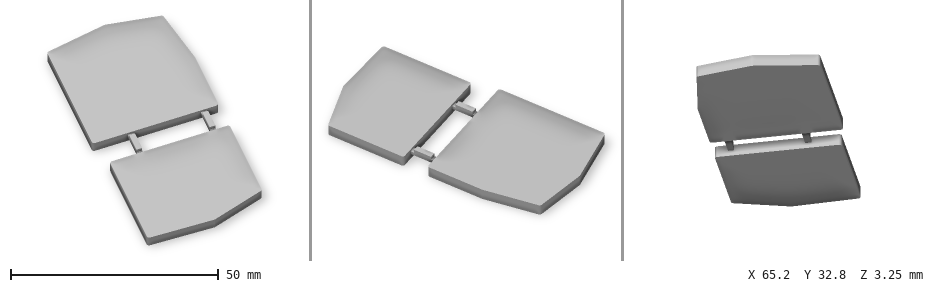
import cadquery as cq

length = 65.25
width = 32.8
height = 3.25

plate_thickness = 3.0
corner_radius = 0.65

left_plate_right = 32.9
left_plate_top = 32.7
left_bottom_corner_x = 2.75
left_upper_corner = (2.4, 30.15)
left_slope_end_x = 17.3
left_tip_y = 16.05
left_tip_radius = 1.95
left_tip_overhang = 0.025

plate_gap = 6.65
right_plate_left = left_plate_right + plate_gap
right_plate_bottom = 1.75
right_top_corner_x = 61.0
right_tip_y = 18.9
right_bottom_corner_x = 64.7

bar_width = 1.5
bar_centers_y = (9.85, 28.8)
bar_bottom = 1.45
bar_shoulder_z = 2.35
bar_shoulder_length = 0.9


def make_plate(outline):
    return cq.Workplane("XY").polyline(outline).close().extrude(plate_thickness)


def round_corners(plate, corners, radius):
    """Round the upright edges standing on the given outline corners."""
    for corner in corners:
        edge_middle = (*corner, plate_thickness / 2)
        plate = plate.edges(cq.selectors.NearestToPointSelector(edge_middle)).fillet(radius)
    return plate


def make_left_plate():
    tip = (-left_tip_overhang, left_tip_y)
    slope_end = (left_slope_end_x, left_plate_top)
    square_corners = [
        (left_bottom_corner_x, 0),
        (left_plate_right, 0),
        (left_plate_right, left_plate_top),
    ]
    plate = make_plate([*square_corners, slope_end, left_upper_corner, tip])
    plate = round_corners(plate, [*square_corners, left_upper_corner], corner_radius)
    return round_corners(plate, [tip], left_tip_radius)


def make_right_plate():
    corners = [
        (right_plate_left, right_plate_bottom),
        (right_bottom_corner_x, right_plate_bottom),
        (length, right_tip_y),
        (right_top_corner_x, width),
        (right_plate_left, width),
    ]
    tip = corners[2]
    rounded = [corner for corner in corners if corner != tip]
    return round_corners(make_plate(corners), rounded, corner_radius)


def make_bar(center_y):
    """Bar across the gap, stepped up between its two shoulders."""
    pad_left = left_plate_right + bar_shoulder_length
    pad_right = right_plate_left - bar_shoulder_length
    profile = [
        (left_plate_right, bar_bottom),
        (right_plate_left, bar_bottom),
        (right_plate_left, bar_shoulder_z),
        (pad_right, bar_shoulder_z),
        (pad_right, height),
        (pad_left, height),
        (pad_left, bar_shoulder_z),
        (left_plate_right, bar_shoulder_z),
    ]
    bar_plane = cq.Workplane("XZ", origin=(0, center_y, 0))
    return bar_plane.polyline(profile).close().extrude(bar_width / 2, both=True)


result = make_left_plate().union(make_right_plate())
for bar_y in bar_centers_y:
    result = result.union(make_bar(bar_y))